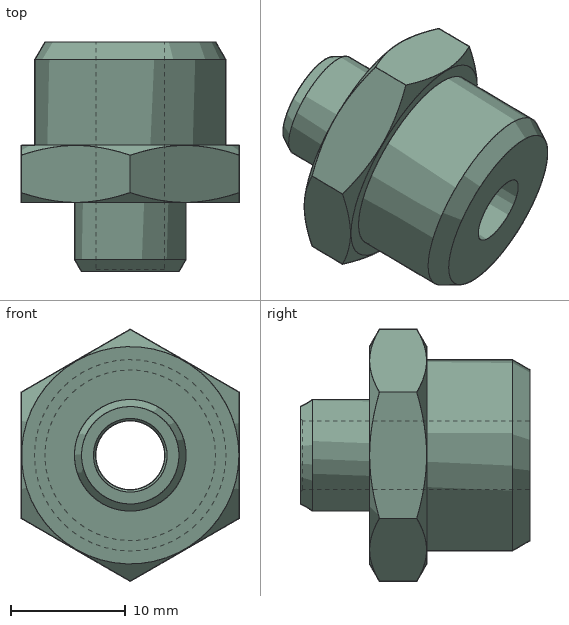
import cadquery as cq
import math

hex_corners = 21.95
hex_length = 5.0
hex_face_diameter = 18.91
chamfer_angle = math.radians(30)

large_diameter = 16.65
large_length = 9.0
large_chamfer_length = 1.55

small_diameter = 9.72
small_length = 6.01
small_chamfer_length = 1.08

bore_diameter = 6.0
bore_mouth_diameter = 6.4
bore_chamfer = (bore_mouth_diameter - bore_diameter) / 2


def revolve_about_y(points):
    """Revolve a closed (radius, y) outline around the Y axis."""
    return cq.Workplane("XY").polyline(points).close().revolve(360, (0, 0, 0), (0, 1, 0))


def spigot(diameter, start, end, chamfer_length):
    """Cylinder from start to end along Y, tapered at its end."""
    radius = diameter / 2
    direction = math.copysign(1, end - start)
    tip_radius = radius - chamfer_length * math.tan(chamfer_angle)
    return revolve_about_y([
        (0, start),
        (radius, start),
        (radius, end - direction * chamfer_length),
        (tip_radius, end),
        (0, end),
    ])


def hexagon():
    """Hexagonal collar with corners on Z and conically chamfered on both faces."""
    prism = (
        cq.Workplane("XZ")
        .polygon(6, hex_corners)
        .extrude(-hex_length)
        .rotate((0, 0, 0), (0, 1, 0), 90)
    )
    face_radius = hex_face_diameter / 2
    corner_radius = hex_corners / 2
    corner_drop = (corner_radius - face_radius) * math.tan(chamfer_angle)
    envelope = revolve_about_y([
        (0, 0),
        (face_radius, 0),
        (corner_radius, corner_drop),
        (corner_radius, hex_length - corner_drop),
        (face_radius, hex_length),
        (0, hex_length),
    ])
    return prism.intersect(envelope)


def bore():
    """Through bore with a 45 degree countersink at the small end."""
    radius = bore_diameter / 2
    front = -small_length
    back = hex_length + large_length
    return revolve_about_y([
        (0, front),
        (bore_mouth_diameter / 2, front),
        (radius, front + bore_chamfer),
        (radius, back),
        (0, back),
    ])


large_spigot = spigot(large_diameter, hex_length, hex_length + large_length, large_chamfer_length)
small_spigot = spigot(small_diameter, 0, -small_length, small_chamfer_length)
result = hexagon().union(large_spigot).union(small_spigot).cut(bore())